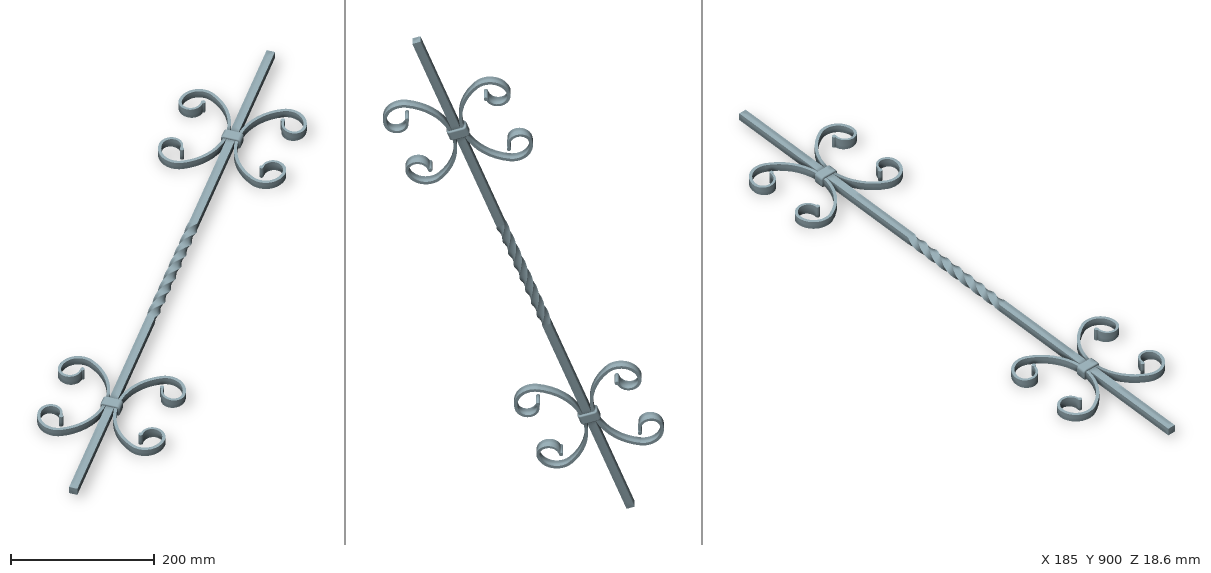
import cadquery as cq
import math

rod_length = 900.0
rod_side = 12.0
twist_length = 192.0
twist_turns = 2
straight_length = (rod_length - twist_length) / 2

band_thickness = 4.6
scroll_half_spread = 92.5
curl_center_y = 46.0
curl_radius = 29.0
tip_radius = 17.3
tip_end_angle = math.radians(8)
flare_thickness = 3.0
flare_height = 18.59
bead_radius = 3.0

collar_spacing = 550.0
collar_length = 16.0
collar_wall_side = 3.9
collar_corner = 5.0
rim_radius = 2.0
collar_width = rod_side + 2 * (band_thickness + collar_wall_side)
collar_height = flare_height
collar_centers = (-collar_spacing / 2, collar_spacing / 2)

curl_center_x = scroll_half_spread - curl_radius
tip_center_x = scroll_half_spread - tip_radius
arm_offset = curl_center_x - rod_side / 2
arm_radius = (arm_offset**2 + curl_center_y**2 - curl_radius**2) / (2 * (arm_offset - curl_radius))
arm_center_x = rod_side / 2 + arm_radius
joint_angle = math.pi - math.atan2(curl_center_y, arm_center_x - curl_center_x)


def polar(center, radius, angle):
    """Point on a circle, with the angle taken from +X."""
    return (center[0] + radius * math.cos(angle), center[1] + radius * math.sin(angle))


def make_band():
    """Arm and curl of the upper half of a right-hand scroll, with constant thickness."""
    arm_center = (arm_center_x, 0)
    curl_center = (curl_center_x, curl_center_y)
    arm_middle = (math.pi + joint_angle) / 2
    curl_middle = joint_angle / 2
    arm_inner = arm_radius - band_thickness
    curl_inner = curl_radius - band_thickness
    return (
        cq.Workplane("XY")
        .moveTo(*polar(arm_center, arm_radius, math.pi))
        .threePointArc(polar(arm_center, arm_radius, arm_middle), polar(arm_center, arm_radius, joint_angle))
        .threePointArc(polar(curl_center, curl_radius, curl_middle), polar(curl_center, curl_radius, 0))
        .lineTo(*polar(curl_center, curl_inner, 0))
        .threePointArc(polar(curl_center, curl_inner, curl_middle), polar(curl_center, curl_inner, joint_angle))
        .threePointArc(polar(arm_center, arm_inner, arm_middle), polar(arm_center, arm_inner, math.pi))
        .close()
        .extrude(rod_side / 2, both=True)
    )


def make_tip():
    """End of the scroll: the band thins and flares up to a bead along its end edge."""
    center = (tip_center_x, curl_center_y)
    end = -math.pi - tip_end_angle
    end_point = polar(center, tip_radius, end)
    path = (
        cq.Workplane("XY")
        .moveTo(*polar(center, tip_radius, 0))
        .threePointArc(polar(center, tip_radius, end / 2), end_point)
    )

    def section(angle, thickness, height):
        plane = cq.Plane(
            origin=(*polar(center, tip_radius - thickness / 2, angle), 0),
            xDir=(math.cos(angle), math.sin(angle), 0),
            normal=(math.sin(angle), -math.cos(angle), 0),
        )
        return cq.Workplane(plane).rect(thickness, height)

    start_wire = section(0, band_thickness, rod_side).wires().val()
    end_wire = section(end, flare_thickness, flare_height).wires().val()
    flare = cq.Workplane(cq.Solid.sweep_multi([start_wire, end_wire], path.val()))
    bead = cq.Workplane("XY").center(*end_point).circle(bead_radius).extrude(flare_height / 2, both=True)
    return flare.union(bead)


def make_scroll():
    """C-shaped scroll on the +X side of the rod, centered on the origin along Y."""
    half = make_band().union(make_tip())
    return half.union(half.mirror("XZ"))


def make_collar():
    """Block around the rod with rounded long corners and rounded end rims."""
    return (
        cq.Workplane("XY")
        .box(collar_width, collar_length, collar_height)
        .edges("|Y")
        .fillet(collar_corner)
        .faces("<Y or >Y")
        .edges()
        .fillet(rim_radius)
    )


def make_rod():
    """Square rod whose middle length is twisted about Y."""
    rod = (
        cq.Workplane("XZ", origin=(0, twist_length / 2, 0))
        .rect(rod_side, rod_side)
        .twistExtrude(twist_length, 360 * twist_turns)
    )
    for side in (-1, 1):
        straight = cq.Workplane("XY").box(rod_side, straight_length, rod_side)
        rod = rod.union(straight.translate((0, side * (twist_length + straight_length) / 2, 0)))
    return rod


right_scroll = make_scroll()
left_scroll = right_scroll.mirror("YZ")
scrolls = []
for center_y in collar_centers:
    for scroll in (right_scroll, left_scroll):
        scrolls.append(scroll.translate((0, center_y, 0)))

rod = make_rod()
collar = make_collar()
for center_y in collar_centers:
    rod = rod.union(collar.translate((0, center_y, 0)))
for scroll in scrolls:
    rod = rod.cut(scroll)

result = cq.Compound.makeCompound([rod.val(), *[scroll.val() for scroll in scrolls]])